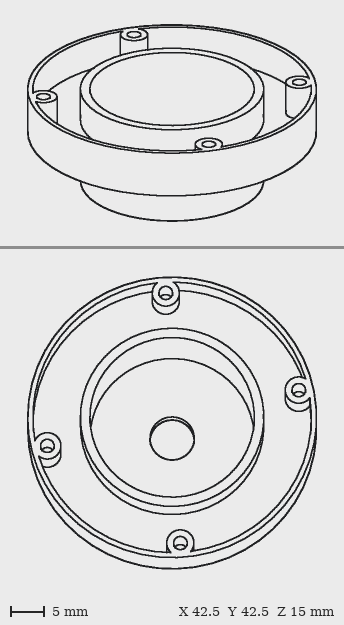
import cadquery as cq

flange_diameter = 42.5
flange_height = 7.0
rim_thickness = 0.75
hub_diameter = 27.0
hub_drop = 8.0
cup_diameter = 24.2
floor_thickness = 2.0
center_hole_diameter = 6.5
boss_diameter = 4.0
screw_hole_diameter = 2.0
boss_x = 14.5
boss_y = 12.25
boss_y_shift = -0.15

total_height = hub_drop + flange_height
flange_floor_z = hub_drop + floor_thickness
wall_height = total_height - flange_floor_z
rim_inner_diameter = flange_diameter - 2 * rim_thickness
boss_centers = [(sx * boss_x, sy * boss_y + boss_y_shift) for sx in (-1, 1) for sy in (-1, 1)]


def cylinder(diameter, bottom_z, height, centers=((0, 0),)):
    """Upright cylinders of one size, standing on bottom_z at each center."""
    plane = cq.Workplane("XY").workplane(offset=bottom_z)
    return plane.pushPoints(centers).circle(diameter / 2).extrude(height)


tray = cylinder(flange_diameter, hub_drop, flange_height)
tray = tray.cut(cylinder(rim_inner_diameter, flange_floor_z, wall_height))

hub = cylinder(hub_diameter, 0, total_height)
bosses = cylinder(boss_diameter, flange_floor_z, wall_height, boss_centers)
body = tray.union(hub).union(bosses)

cup = cylinder(cup_diameter, floor_thickness, total_height - floor_thickness)
center_hole = cylinder(center_hole_diameter, 0, floor_thickness)
screw_holes = cylinder(screw_hole_diameter, flange_floor_z, wall_height, boss_centers)

result = body.cut(cup).cut(center_hole).cut(screw_holes)